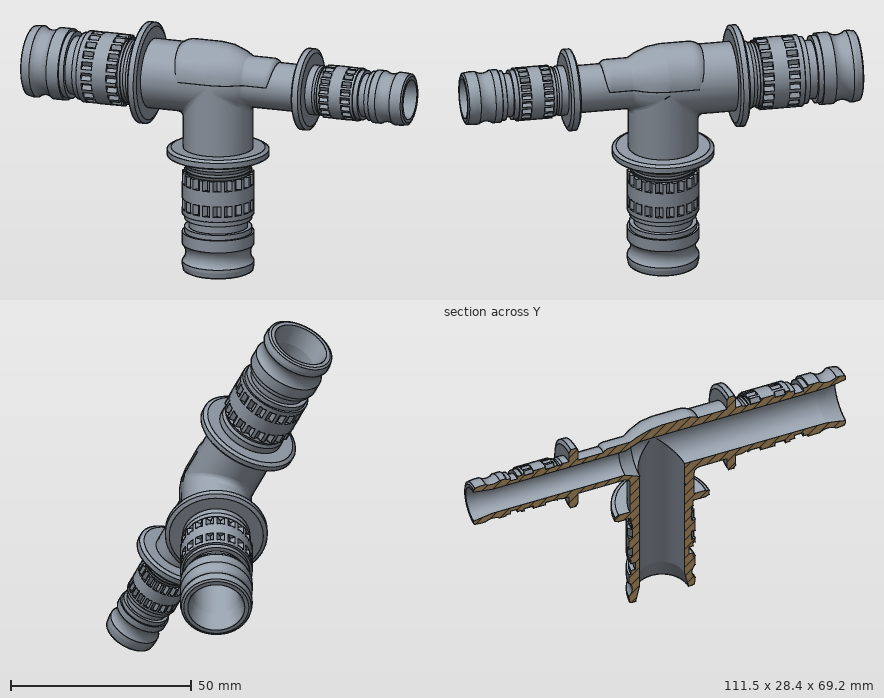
import cadquery as cq
import math

RUN_LENGTH = 111.5
LARGE_REACH = 55.0
SMALL_REACH = RUN_LENGTH - LARGE_REACH

LARGE = dict(
    tube_r=9.7, bore_r=6.7, mouth_r=7.9, mouth_depth=5.8,
    end_r=9.7, waist_r=9.0, collar_r=9.98, shoulder_r=9.4, groove_r=8.1,
    bead=(1.8, 2.8), collar=(7.8, 11.3), groove=(12.7, 15.2), sleeve=(16.6, 28.3),
    notch_rows=((18.1, 21.1), (25.4, 28.3)), notch_depth=1.1,
    barb_r=9.4, barb_root_r=8.9, barbs=(29.2, 30.0, 31.0),
    flange_r=14.2, flange=(32.9, 35.6),
)
SMALL = dict(
    tube_r=6.6, bore_r=4.6, mouth_r=5.6, mouth_depth=5.8,
    end_r=7.1, waist_r=6.7, collar_r=7.4, shoulder_r=6.9, groove_r=6.0,
    bead=(2.1, 3.6), collar=(7.8, 9.8), groove=(11.2, 13.2), sleeve=(14.5, 24.3),
    notch_rows=((15.3, 18.0), (21.6, 24.3)), notch_depth=0.9,
    barb_r=6.9, barb_root_r=6.6, barbs=(25.2, 25.9, 26.5),
    flange_r=11.4, flange=(28.5, 31.3),
)
NOTCH_COUNT = 20
END_BEVEL_RADIAL = 0.7
END_BEVEL_AXIAL = 0.3
FLANGE_BEVEL_RADIAL = 1.1
FLANGE_BEVEL_AXIAL = 0.6

REDUCER_LENGTH = 8.9
REDUCER_BLEND = 1.0
REDUCER_END = REDUCER_LENGTH + REDUCER_BLEND
CROTCH_FILLET = 1.6
BORE_CONE_START = LARGE["bore_r"]
BORE_CONE_LENGTH = 4.5

HUMP_RAISE = 1.1
HUMP_LARGE_END = -7.6
HUMP_LARGE_RUNOUT = 3.1
HUMP_SMALL_END = 15.7
HUMP_SMALL_RUNOUT = 1.9
HUMP_SINK = 1.1


def fitting_exterior(size, reach):
    """Outer fitting turned about X, open end at x = -reach, closed by the flange's inner face."""
    def at(distance):
        return distance - reach

    bead_start, bead_end = size["bead"]
    collar_start, collar_end = size["collar"]
    groove_start, groove_end = size["groove"]
    sleeve_start, sleeve_end = size["sleeve"]
    second_barb, barb_gap, first_barb = size["barbs"]
    flange_start, flange_end = size["flange"]
    waist_middle = (bead_end + collar_start) / 2
    flange_face_r = size["flange_r"] - FLANGE_BEVEL_RADIAL

    profile = (
        cq.Workplane("XY")
        .moveTo(at(0), 0)
        .lineTo(at(0), size["end_r"] - END_BEVEL_RADIAL)
        .lineTo(at(END_BEVEL_AXIAL), size["end_r"])
        .lineTo(at(bead_start), size["collar_r"])
        .lineTo(at(bead_end), size["collar_r"])
        .threePointArc((at(waist_middle), size["waist_r"]), (at(collar_start), size["collar_r"]))
        .lineTo(at(collar_end), size["collar_r"])
        .lineTo(at(collar_end), size["shoulder_r"])
        .lineTo(at(groove_start), size["shoulder_r"])
        .lineTo(at(groove_start), size["groove_r"])
        .lineTo(at(groove_end), size["groove_r"])
        .lineTo(at(groove_end), size["shoulder_r"])
        .lineTo(at(sleeve_start), size["shoulder_r"])
        .lineTo(at(sleeve_start), size["collar_r"])
        .lineTo(at(sleeve_end), size["collar_r"])
        .lineTo(at(sleeve_end), size["barb_root_r"])
        .lineTo(at(second_barb), size["barb_r"])
        .lineTo(at(second_barb), size["barb_root_r"])
        .lineTo(at(barb_gap), size["barb_root_r"])
        .lineTo(at(first_barb), size["barb_r"])
        .lineTo(at(flange_start), size["barb_r"])
        .lineTo(at(flange_start), flange_face_r)
        .lineTo(at(flange_start + FLANGE_BEVEL_AXIAL), size["flange_r"])
        .lineTo(at(flange_end - FLANGE_BEVEL_AXIAL), size["flange_r"])
        .lineTo(at(flange_end), flange_face_r)
        .lineTo(at(flange_end), 0)
        .close()
    )
    return profile.revolve(360, (0, 0, 0), (1, 0, 0)).cut(sleeve_notches(size, reach))


def sleeve_notches(size, reach):
    """Rows of right-angled V notches around the sleeve."""
    apex_r = size["collar_r"] - size["notch_depth"]
    overshoot = 2 * size["notch_depth"]
    cutters = []
    for start, end in size["notch_rows"]:
        notch = (
            cq.Workplane("YZ", origin=(start - reach, 0, 0))
            .moveTo(0, apex_r)
            .lineTo(overshoot, apex_r + overshoot)
            .lineTo(-overshoot, apex_r + overshoot)
            .close()
            .extrude(end - start)
        )
        for i in range(NOTCH_COUNT):
            turned = notch.rotate((0, 0, 0), (1, 0, 0), i * 360 / NOTCH_COUNT)
            cutters.append(turned.val())
    return cq.Workplane(cq.Compound.makeCompound(cutters))


def fitting_bore(size, reach, inner_end):
    """Bore turned about X with a tapered mouth at x = -reach, running to x = inner_end."""
    return (
        cq.Workplane("XY")
        .moveTo(-reach, 0)
        .lineTo(-reach, size["mouth_r"])
        .lineTo(size["mouth_depth"] - reach, size["bore_r"])
        .lineTo(inner_end, size["bore_r"])
        .lineTo(inner_end, 0)
        .close()
        .revolve(360, (0, 0, 0), (1, 0, 0))
    )


def to_small_side(body):
    return body.rotate((0, 0, 0), (0, 0, 1), 180)


def to_branch(body):
    return body.rotate((0, 0, 0), (0, 1, 0), -90)


def add_reducer(outline):
    """Continue an outline at the large tube's end, x = 0, through the reducer to the small tube."""
    drop = LARGE["tube_r"] - SMALL["tube_r"]
    turn = 2 * math.atan(drop / REDUCER_END)
    convex_r = REDUCER_LENGTH / math.sin(turn)
    half_turn = turn / 2
    convex_middle = (
        convex_r * math.sin(half_turn),
        LARGE["tube_r"] - convex_r * (1 - math.cos(half_turn)),
    )
    inflection = (REDUCER_LENGTH, LARGE["tube_r"] - drop * REDUCER_LENGTH / REDUCER_END)
    return (
        outline
        .threePointArc(convex_middle, inflection)
        .tangentArcPoint((REDUCER_END, SMALL["tube_r"]), relative=False)
    )


def tee_body():
    """Large tube, reducer and small tube along X, with the branch tube below."""
    tube_start = LARGE["flange"][1] - LARGE_REACH
    tube_end = SMALL_REACH - SMALL["flange"][1]
    outline = (
        cq.Workplane("XY")
        .moveTo(tube_start, 0)
        .lineTo(tube_start, LARGE["tube_r"])
        .lineTo(0, LARGE["tube_r"])
    )
    run = (
        add_reducer(outline)
        .lineTo(tube_end, SMALL["tube_r"])
        .lineTo(tube_end, 0)
        .close()
        .revolve(360, (0, 0, 0), (1, 0, 0))
    )
    branch = cq.Workplane("XY").circle(LARGE["tube_r"]).extrude(tube_start)
    return run.union(branch).edges("%ELLIPSE or %BSPLINE").fillet(CROTCH_FILLET)


def dome_radius(size, runout, along):
    """Hump radius at a distance past its straight part; it has dropped by the raise at the run-out."""
    dome_r = (runout**2 + HUMP_RAISE**2) / (2 * HUMP_RAISE)
    return size["tube_r"] - dome_r + math.sqrt(dome_r**2 - along**2)


def hump():
    """Copy of the upper run raised above the axis, its rounded ends sinking into the tubes."""
    large_sink = HUMP_LARGE_RUNOUT * HUMP_SINK
    small_sink = HUMP_SMALL_RUNOUT * HUMP_SINK
    outline = (
        cq.Workplane("XY", origin=(0, 0, HUMP_RAISE))
        .moveTo(HUMP_LARGE_END - large_sink, 0)
        .lineTo(HUMP_LARGE_END - large_sink, dome_radius(LARGE, HUMP_LARGE_RUNOUT, large_sink))
        .threePointArc(
            (HUMP_LARGE_END - large_sink / 2, dome_radius(LARGE, HUMP_LARGE_RUNOUT, large_sink / 2)),
            (HUMP_LARGE_END, LARGE["tube_r"]),
        )
        .lineTo(0, LARGE["tube_r"])
    )
    return (
        add_reducer(outline)
        .lineTo(HUMP_SMALL_END, SMALL["tube_r"])
        .threePointArc(
            (HUMP_SMALL_END + small_sink / 2, dome_radius(SMALL, HUMP_SMALL_RUNOUT, small_sink / 2)),
            (HUMP_SMALL_END + small_sink, dome_radius(SMALL, HUMP_SMALL_RUNOUT, small_sink)),
        )
        .lineTo(HUMP_SMALL_END + small_sink, 0)
        .close()
        .revolve(180, (0, 0, 0), (1, 0, 0))
    )


def tee_bore():
    """Run and branch bores, with a cone stepping the run down to the small bore."""
    cone = (
        cq.Workplane("YZ", origin=(BORE_CONE_START, 0, 0))
        .circle(LARGE["bore_r"])
        .workplane(offset=BORE_CONE_LENGTH)
        .circle(SMALL["bore_r"])
        .loft()
    )
    return (
        fitting_bore(LARGE, LARGE_REACH, BORE_CONE_START)
        .union(cone)
        .union(to_small_side(fitting_bore(SMALL, SMALL_REACH, -BORE_CONE_START)))
        .union(to_branch(fitting_bore(LARGE, LARGE_REACH, 0)))
    )


result = (
    tee_body()
    .union(hump())
    .union(fitting_exterior(LARGE, LARGE_REACH))
    .union(to_branch(fitting_exterior(LARGE, LARGE_REACH)))
    .union(to_small_side(fitting_exterior(SMALL, SMALL_REACH)))
    .cut(tee_bore())
)